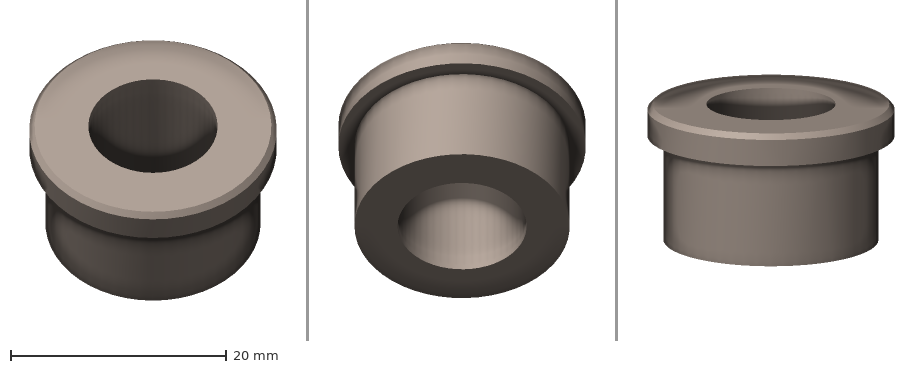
import cadquery as cq

total_height = 13.0
flange_diameter = 23.0
flange_thickness = 3.0
flange_chamfer = 0.5
sleeve_diameter = 20.0
bore_diameter = 12.0

sleeve_length = total_height - flange_thickness


def make_sleeve():
    """Plain cylinder below the flange."""
    return cq.Workplane("XY").circle(sleeve_diameter / 2).extrude(sleeve_length)


def make_flange():
    """Disc on top of the sleeve, chamfered around its upper rim."""
    return (
        cq.Workplane("XY")
        .workplane(offset=sleeve_length)
        .circle(flange_diameter / 2)
        .extrude(flange_thickness)
        .faces(">Z")
        .edges()
        .chamfer(flange_chamfer)
    )


def make_bore():
    """Straight through hole along the axis."""
    return cq.Workplane("XY").circle(bore_diameter / 2).extrude(total_height)


result = make_sleeve().union(make_flange()).cut(make_bore())